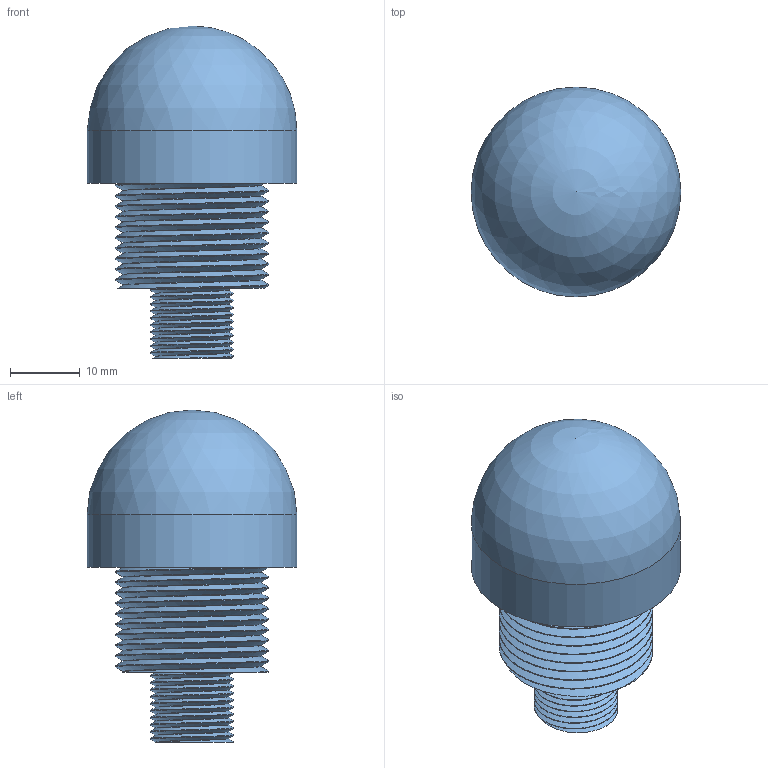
import cadquery as cq
import math


head_diameter = 30.0
collar_height = 7.5

barrel_diameter = 22.0
barrel_root_diameter = 19.78
barrel_pitch = 1.5
barrel_length = 15.0
barrel_crest_offset = 0.45

connector_diameter = 12.0
connector_root_diameter = 10.52
connector_pitch = 1.0
connector_length = 10.0
connector_crest_offset = 0.22

crest_flat_ratio = 0.08
thread_angle = 60.0
groove_overrun = 0.04
spare_turns = 1

head_radius = head_diameter / 2
barrel_bottom = connector_length
collar_bottom = barrel_bottom + barrel_length
dome_bottom = collar_bottom + collar_height


def cylinder(diameter, height, bottom):
    return cq.Workplane("XY", origin=(0, 0, bottom)).circle(diameter / 2).extrude(height)


def threaded_shank(diameter, root_diameter, pitch, length, bottom, crest_offset):
    """Solid rod with a right-hand, narrow-bottomed groove running out through both ends."""
    root_radius = root_diameter / 2
    flank_slope = math.tan(math.radians(thread_angle / 2))
    mouth_half_width = pitch * (1 - crest_flat_ratio) / 2
    root_half_width = mouth_half_width - (diameter / 2 - root_radius) * flank_slope

    cutter_radius = diameter / 2 + groove_overrun
    cutter_half_width = mouth_half_width + groove_overrun * flank_slope

    groove_start = bottom + crest_offset - (spare_turns + 0.5) * pitch
    helix_height = length + 2 * spare_turns * pitch
    helix = cq.Wire.makeHelix(pitch, helix_height, root_radius, cq.Vector(0, 0, groove_start))
    cutter = (
        cq.Workplane("XZ")
        .moveTo(root_radius, groove_start - root_half_width)
        .lineTo(root_radius, groove_start + root_half_width)
        .lineTo(cutter_radius, groove_start + cutter_half_width)
        .lineTo(cutter_radius, groove_start - cutter_half_width)
        .close()
        .sweep(cq.Workplane(obj=helix), isFrenet=True)
    )

    spare_length = 2 * spare_turns * pitch
    blank = cylinder(diameter, length + 2 * spare_length, bottom - spare_length)
    trim = cylinder(2 * diameter, length, bottom)
    return blank.cut(cutter).intersect(trim).solids()


def make_dome():
    """Hemisphere resting on the collar."""
    return (
        cq.Workplane("XZ", origin=(0, 0, dome_bottom))
        .lineTo(head_radius, 0)
        .radiusArc((0, head_radius), -head_radius)
        .close()
        .revolve(360, (0, 0), (0, 1))
    )


def make_housing():
    """Plain collar in one piece with the threaded mounting barrel."""
    barrel = threaded_shank(
        barrel_diameter,
        barrel_root_diameter,
        barrel_pitch,
        barrel_length,
        barrel_bottom,
        barrel_crest_offset,
    )
    collar = cylinder(head_diameter, collar_height, collar_bottom)
    return collar.union(barrel).solids()


def make_connector():
    """Threaded plug on the lower end of the barrel."""
    return threaded_shank(
        connector_diameter,
        connector_root_diameter,
        connector_pitch,
        connector_length,
        0,
        connector_crest_offset,
    )


dome = make_dome()
housing = make_housing()
connector = make_connector()

result = cq.Compound.makeCompound([dome.val(), housing.val(), connector.val()])